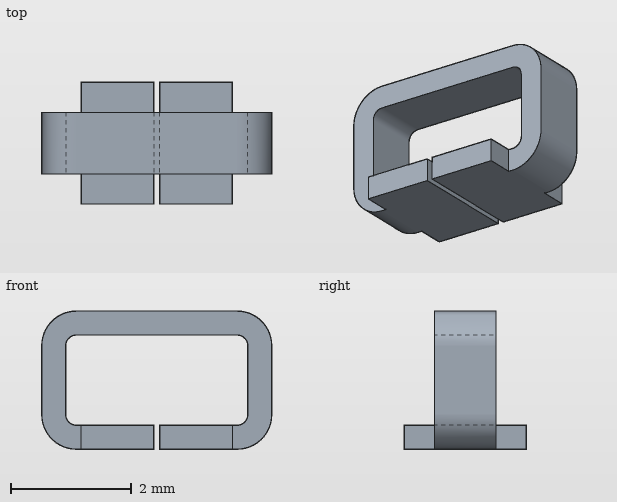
import cadquery as cq

length = 3.81
depth = 2.02
height = 2.29

strip_thickness = 0.4
strip_width = 1.02
outer_radius = 0.575
inner_radius = outer_radius - strip_thickness

foot_length = 1.2
foot_gap = 0.1


def rounded_block(size_x, size_z, radius):
    """Block as wide as the strip, centred on the origin, with corners rounded about Y."""
    return cq.Workplane("XY").box(size_x, strip_width, size_z).edges("|Y").fillet(radius)


def make_loop():
    """Closed rectangular loop of constant thickness."""
    outside = rounded_block(length, height, outer_radius)
    opening = rounded_block(
        length - 2 * strip_thickness, height - 2 * strip_thickness, inner_radius
    )
    return outside.cut(opening)


foot_z = (strip_thickness - height) / 2

feet = cq.Workplane("XY").box(2 * foot_length + foot_gap, depth, strip_thickness)
feet = feet.translate((0, 0, foot_z))
gap = cq.Workplane("XY").box(foot_gap, depth, strip_thickness).translate((0, 0, foot_z))

result = make_loop().union(feet).cut(gap)